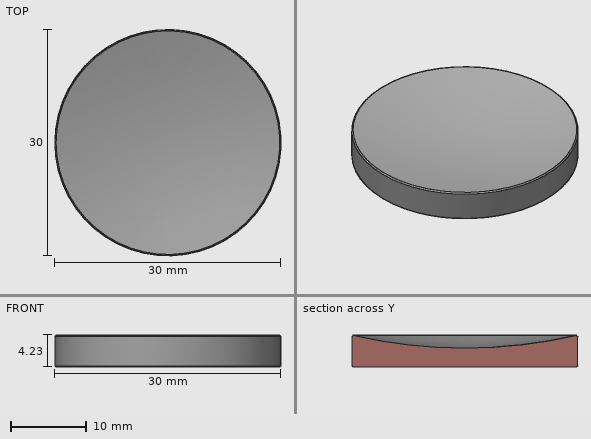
import cadquery as cq

diameter = 30.0
edge_thickness = 4.23
dish_depth = 1.68
edge_chamfer = 0.18

radius = diameter / 2
dish_rim_radius = radius - edge_chamfer
center_thickness = edge_thickness - dish_depth

sphere_radius = (dish_rim_radius**2 + dish_depth**2) / (2 * dish_depth)
mid_dish_radius = dish_rim_radius / 2
mid_dish_height = center_thickness + sphere_radius - (sphere_radius**2 - mid_dish_radius**2) ** 0.5

half_section = (
    cq.Workplane("XZ")
    .moveTo(0, 0)
    .lineTo(-dish_rim_radius, 0)
    .lineTo(-radius, edge_chamfer)
    .lineTo(-radius, edge_thickness - edge_chamfer)
    .lineTo(-dish_rim_radius, edge_thickness)
    .threePointArc((-mid_dish_radius, mid_dish_height), (0, center_thickness))
    .close()
)

result = half_section.revolve(360, (0, 0, 0), (0, 1, 0))